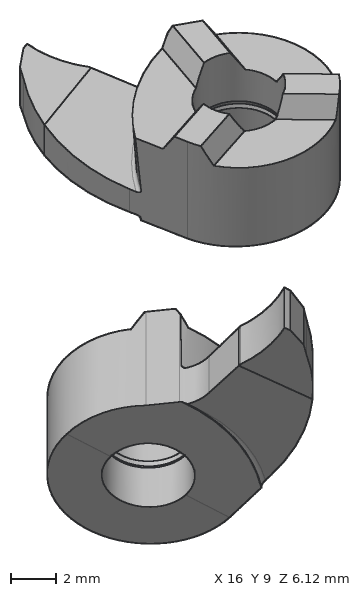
import cadquery as cq
import math

hub_radius = 4.5
hub_height = 4.78
bottom_relief_angle = 2.0
underside_chamfer_angle = 45.0

bore_radius = 2.07
groove_radius = 2.15
groove_top = 2.88
groove_middle = 2.65
groove_bottom = 2.47

tooth_count = 3
first_tooth_angle = 30.0
tooth_height = 1.0
tooth_root_width = 2.52
tooth_tip_width = 1.33
overall_top = hub_height + tooth_height

tip_x = -11.5
tip_corner_y = 0.98
tip_land_y = 0.65
flank_end = (-11.05, -0.41)
heel_end_x = -10.57
back_radius = 9.8
back_start_x = -3.0
chip_valley = (-10.15, 0.82)
chip_end_x = -8.4
neck_y = 1.12
neck_angle = 45.0
neck_hub_angle = 142.0
neck_radius = 2.0
split_x = -8.28

arm_mid_height = 0.91
tip_half_thickness = 1.25
slope_x = -math.tan(math.radians(1.4))
slope_y = math.tan(math.radians(3.7))

shoulder_radius = 8.1
shoulder_center = (3.40, 1.2)
shoulder_lean = 6.0
arm_side_limit = -1.5
shoulder_fillet = 0.2

reach = 30.0


def minus_x_side(x_limit):
    """Block filling everything on the -X side of x_limit."""
    return cq.Workplane("XY").box(reach, 2 * reach, 2 * reach).translate((x_limit - reach / 2, 0, 0))


def back_point(x):
    """Point on the curved back of the arm."""
    center_y = back_radius - hub_radius
    return (x, center_y - math.sqrt(back_radius**2 - (x - back_start_x) ** 2))


def outline():
    """Closed plan outline of hub and arm."""
    hub_leave = math.radians(neck_hub_angle)
    neck_top = (hub_radius * math.cos(hub_leave), hub_radius * math.sin(hub_leave))
    slant = math.radians(neck_angle)
    neck_corner_x = neck_top[0] - (neck_top[1] - neck_y) / math.tan(slant)
    tangent_length = neck_radius * math.tan(slant / 2)
    blend_start = (
        neck_corner_x + tangent_length * math.cos(slant),
        neck_y + tangent_length * math.sin(slant),
    )
    blend_end = (neck_corner_x - tangent_length, neck_y)
    blend_mid = (
        blend_end[0] + neck_radius * math.sin(slant / 2),
        neck_y + neck_radius * (1 - math.cos(slant / 2)),
    )
    return (
        cq.Workplane("XY")
        .moveTo(0, -hub_radius)
        .threePointArc((hub_radius, 0), neck_top)
        .lineTo(*blend_start)
        .threePointArc(blend_mid, blend_end)
        .lineTo(chip_end_x, neck_y)
        .threePointArc(chip_valley, (tip_x, tip_corner_y))
        .lineTo(tip_x, tip_land_y)
        .lineTo(*flank_end)
        .lineTo(*back_point(heel_end_x))
        .threePointArc(back_point((heel_end_x + back_start_x) / 2), (back_start_x, -hub_radius))
        .close()
    )


def arm_clearance():
    """Space above the arm's upper face, outside the curved shoulder and rounded at its foot."""
    center_x, center_y = shoulder_center
    face_height = (
        arm_mid_height
        + tip_half_thickness
        + slope_x * (center_x - tip_x)
        + slope_y * (center_y - tip_corner_y)
    )
    foot = (center_x, center_y, face_height)
    face = cq.Plane(origin=foot, xDir=(1, 0, slope_x), normal=(-slope_x, -slope_y, 1))
    lean = math.tan(math.radians(shoulder_lean))
    shoulder_base = cq.Plane(origin=foot, xDir=(1, 0, 0), normal=(0, -lean, 1))
    shoulder = cq.Workplane(shoulder_base).circle(shoulder_radius).extrude(reach, both=True)
    space = cq.Workplane(face).rect(2 * reach, 2 * reach).extrude(reach).cut(shoulder)
    foot_edge = cq.selectors.NearestToPointSelector((center_x - shoulder_radius, center_y, face_height))
    space = space.edges(foot_edge).fillet(shoulder_fillet)
    return space.intersect(minus_x_side(arm_side_limit))


def hub_underside():
    """Space below the hub: flat at Z = 0, rising towards +X, chamfered along the shoulder."""
    flat = (
        cq.Workplane("XY")
        .center(*shoulder_center)
        .circle(shoulder_radius)
        .extrude(-2 * tip_half_thickness, taper=-underside_chamfer_angle)
    )
    rise = reach * math.tan(math.radians(bottom_relief_angle))
    relief = (
        cq.Workplane("XZ")
        .polyline([(0, 0), (reach, 0), (reach, rise)])
        .close()
        .extrude(reach, both=True)
    )
    return flat.union(relief)


def drive_teeth():
    """Trapezoidal radial teeth standing on the hub face."""
    teeth = cq.Workplane("XY")
    for index in range(tooth_count):
        tooth = (
            cq.Workplane("YZ")
            .polyline(
                [
                    (-tooth_root_width / 2, hub_height),
                    (tooth_root_width / 2, hub_height),
                    (tooth_tip_width / 2, overall_top),
                    (-tooth_tip_width / 2, overall_top),
                ]
            )
            .close()
            .extrude(2 * hub_radius)
        )
        angle = first_tooth_angle + index * 360 / tooth_count
        teeth = teeth.add(tooth.rotate((0, 0, 0), (0, 0, 1), angle))
    return teeth.combine()


def bore():
    """Through bore with a shallow V groove."""
    through = cq.Workplane("XY").circle(bore_radius).extrude(reach, both=True)
    groove = (
        cq.Workplane("XZ")
        .polyline(
            [
                (0, groove_bottom),
                (bore_radius, groove_bottom),
                (groove_radius, groove_middle),
                (bore_radius, groove_top),
                (0, groove_top),
            ]
        )
        .close()
        .revolve(360, (0, 0, 0), (0, 1, 0))
    )
    return through.union(groove)


def insert():
    """Whole insert, before it is divided at the tip joint."""
    lowest = arm_mid_height - 2 * tip_half_thickness
    block = outline().extrude(hub_height - lowest).translate((0, 0, lowest))
    teeth = drive_teeth().intersect(outline().extrude(overall_top))
    upper = arm_clearance()
    lower = upper.mirror("XY").translate((0, 0, 2 * arm_mid_height))
    return block.union(teeth).cut(upper).cut(lower).cut(hub_underside()).cut(bore())


blank = insert()
body = blank.cut(minus_x_side(split_x))
cutting_tip = blank.intersect(minus_x_side(split_x))

result = cq.Compound.makeCompound([body.val(), cutting_tip.val()])